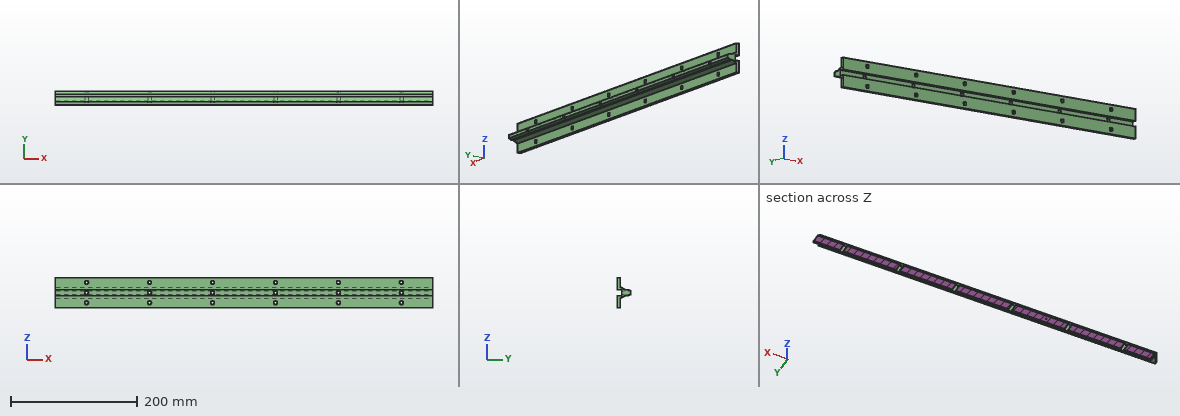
import cadquery as cq

length = 599.5
height = 22.0
width = 48.0

flange_thickness = 5.5
channel_depth = 7.0
channel_half_width = 4.5
web_root_half_width = 9.0
web_half_width = 5.0
web_shoulder_y = 13.0
nose_taper_y = 17.5
nose_half_width = 2.7
seat_depth = 0.3

hole_diameter = 5.5
hole_count = 6
hole_pitch = length / hole_count
flange_hole_offset = 16.0


def make_rail():
    """Extrude the flanged profile, with its hollow shaft seat, along X."""
    half_width = width / 2
    upper_side = [
        (0, channel_half_width),
        (0, half_width),
        (flange_thickness, half_width),
        (flange_thickness, web_root_half_width),
        (web_shoulder_y, web_half_width),
        (nose_taper_y, web_half_width),
        (height, nose_half_width),
    ]
    lower_side = [(y, -z) for y, z in reversed(upper_side)]
    return (
        cq.Workplane("YZ", origin=(-length / 2, 0, 0))
        .moveTo(channel_depth, channel_half_width)
        .polyline(upper_side, includeCurrent=True)
        .threePointArc((height - seat_depth, 0), lower_side[0])
        .polyline(lower_side[1:], includeCurrent=True)
        .lineTo(channel_depth, -channel_half_width)
        .close()
        .extrude(length)
    )


def make_holes():
    """Drills along Y: one row through the web and one through each flange."""
    first_x = (hole_pitch - length) / 2
    centres = [
        (first_x + i * hole_pitch, z)
        for i in range(hole_count)
        for z in (-flange_hole_offset, 0, flange_hole_offset)
    ]
    return (
        cq.Workplane("XZ")
        .pushPoints(centres)
        .circle(hole_diameter / 2)
        .extrude(-height)
    )


result = make_rail().cut(make_holes())